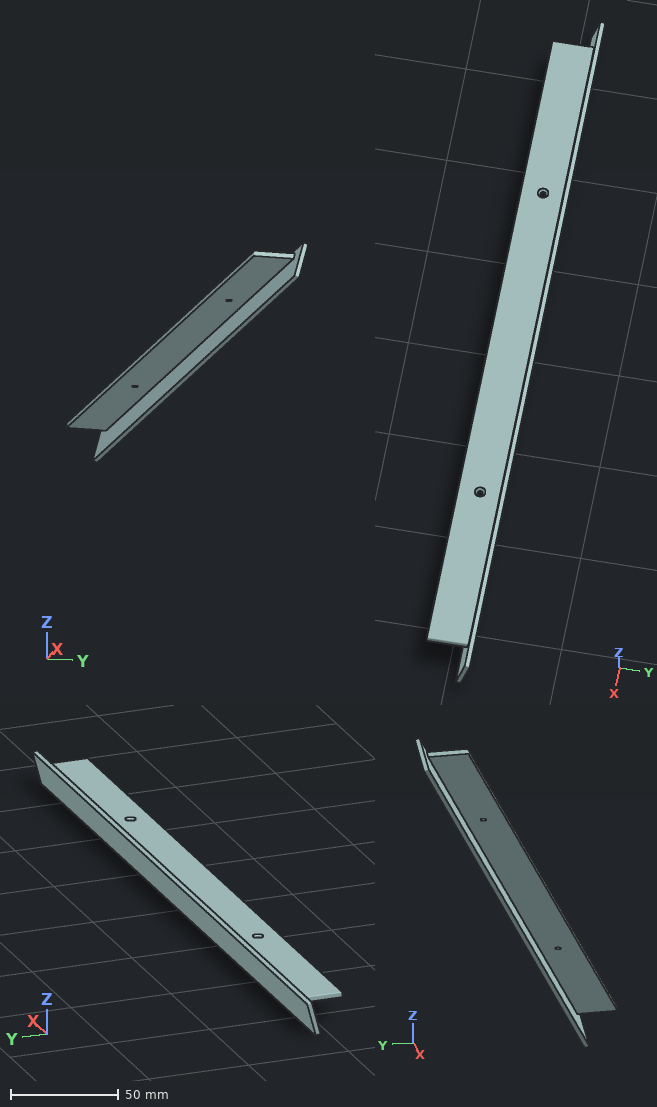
import cadquery as cq
import math

length = 353.5
depth = 23.0
height = 17.5

plate_thickness = 2.5
plate_lean = 15
plate_corner_radius = 0.53

shelf_length = 328.0
shelf_thickness = 3.0
shelf_drop = 2.0
shelf_corner_radius = 0.5
shelf_top_radius = 0.7

hole_spacing = shelf_length / 2
hole_inset = 10.5
hole_diameter = 2.55
sink_diameter = 5.0
sink_angle = 90

lean = math.radians(plate_lean)
plate_width = (height - plate_thickness * math.sin(lean)) / math.cos(lean)
plate_reach = plate_width * math.sin(lean) + plate_thickness * math.cos(lean)
plate_y = (depth - plate_reach) / 2

shelf_top = height / 2 - shelf_drop
shelf_middle_z = shelf_top - shelf_thickness / 2
shelf_front = -depth / 2
shelf_back = plate_y + shelf_middle_z * math.tan(lean)
shelf_depth = shelf_back - shelf_front


def make_plate():
    """Long plate with rounded corners, its top edge leaning towards +Y."""
    plate = cq.Workplane("XY").box(length, plate_thickness, plate_width)
    plate = plate.edges("|Y").fillet(plate_corner_radius)
    plate = plate.rotate((0, 0, 0), (1, 0, 0), -plate_lean)
    return plate.translate((0, plate_y, 0))


def make_shelf():
    """Flat shelf with rounded free corners and a rounded top rim; its back edge stays sharp."""
    shelf = cq.Workplane("XY").box(shelf_length, shelf_depth, shelf_thickness)
    shelf = shelf.edges("|Z and <Y").fillet(shelf_corner_radius)
    shelf = shelf.faces(">Z").edges("not >Y").fillet(shelf_top_radius)
    return shelf.translate((0, shelf_front + shelf_depth / 2, shelf_middle_z))


def drill_holes(shelf):
    """Two through holes, countersunk from the top of the shelf."""
    top_plane = cq.Workplane("XY", origin=(0, shelf_front + hole_inset, shelf_top))
    return (
        shelf.copyWorkplane(top_plane)
        .pushPoints([(-hole_spacing / 2, 0), (hole_spacing / 2, 0)])
        .cskHole(hole_diameter, sink_diameter, sink_angle)
    )


result = make_plate().union(drill_holes(make_shelf()))